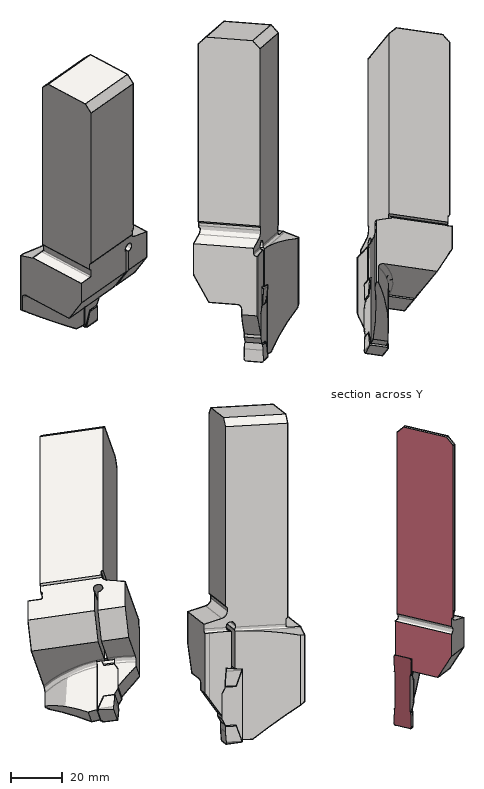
import cadquery as cq
import math


shank_width = 25.0
total_height = 128.73
shank_chamfer = 3.0
relief_depth = 0.7
relief_z_right = 52.2
relief_z_back = 54.6
relief_z_front = 48.9

head_front_y = -5.0
head_back_y = 33.7
head_left_x = -6.82
head_right_x = shank_width - relief_depth
shoulder_z = 45.0
head_slope = math.radians(17)
neck_fillet = 1.5
front_fillet = 0.5
back_slope = math.radians(15)
back_top_z = 47.9
back_fillet = 3.0
head_bottom_z = 24.8
corner_cut_z = 35.4
corner_cut_x = 18.1

outer_radius = 62.0
outer_start_y = -3.3
outer_end_y = 31.8
outer_end_x = -1.4
inner_radius = 43.0
inner_apex_x = 5.85
inner_apex_y = 24.6
blade_fillet = 1.7
blade_bottom_z = 1.5
blade_toe_y = 14.6
front_bevel_z = 16.5
jaw_bevel_z = 20.9
jaw_tip_z = 11.3

insert_length = 30.2
insert_x = 2.5
insert_width = 8.0
head_back_width = 7.4
body_width = 6.8
seat_y = 18.4
cutting_edge_y = 25.0
rake_top_y = 25.4
rake_z = 5.0
ridge_foot_z = 7.7
ridge_y = 26.7
ridge_z = 10.1
end_clearance = 0.7
nose_fillet = 1.0
cutter_length = 7.1
cutter_heel_run = 0.4
cutter_heel_y = 21.1
cutter_toe_y = 18.9

slot_width = 1.3
slot_right_y = 21.55
slot_hole_radius = 1.85
slot_hole_y = 22.9
slot_hole_z = 46.4

margin = 2.0


def along_x(sketch, x_start, x_end):
    """Extrude a closed YZ outline from x_start to x_end."""
    return sketch.extrude(x_end - x_start).translate((x_start, 0, 0))


def holder_side():
    """Outline in YZ: shank, sloped clamping jaw and bevelled blade."""
    relief_y = shank_width - relief_depth
    jaw_root_z = back_top_z + (head_back_y - relief_y) * math.tan(back_slope)
    outline = (
        cq.Workplane("YZ")
        .polyline([
            (0, total_height),
            (shank_width, total_height),
            (shank_width, relief_z_back),
            (relief_y, relief_z_back - relief_depth),
            (relief_y, jaw_root_z),
            (head_back_y, back_top_z),
            (head_back_y, jaw_bevel_z),
            (ridge_y, jaw_tip_z),
            (seat_y, blade_bottom_z),
            (blade_toe_y, blade_bottom_z),
            (head_front_y, front_bevel_z),
            (head_front_y, shoulder_z),
            (relief_depth, shoulder_z),
            (relief_depth, relief_z_front - relief_depth),
            (0, relief_z_front),
        ])
        .close()
    )
    solid = along_x(outline, head_left_x, shank_width)
    back_root = cq.selectors.NearestToPointSelector((0, relief_y, jaw_root_z))
    front_root = cq.selectors.NearestToPointSelector((0, relief_depth, shoulder_z))
    rounded = solid.edges("|X").edges(back_root).fillet(back_fillet)
    return rounded.edges("|X").edges(front_root).fillet(front_fillet)


def holder_front():
    """Outline in XZ: chamfered shank, sloped head top and bevelled corner."""
    outer_top_z = shoulder_z + head_left_x * math.tan(head_slope)
    outline = (
        cq.Workplane("XZ", origin=(0, head_back_y, 0))
        .polyline([
            (0, total_height - shank_chamfer),
            (shank_chamfer, total_height),
            (shank_width - shank_chamfer, total_height),
            (shank_width, total_height - shank_chamfer),
            (shank_width, relief_z_right),
            (head_right_x, relief_z_right - relief_depth),
            (head_right_x, corner_cut_z),
            (corner_cut_x, head_bottom_z),
            (corner_cut_x, 0),
            (head_left_x, 0),
            (head_left_x, outer_top_z),
            (0, shoulder_z),
        ])
        .close()
    )
    solid = outline.extrude(head_back_y - head_front_y)
    root = cq.selectors.NearestToPointSelector((0, (head_back_y + head_front_y) / 2, shoulder_z))
    return solid.edges("|Y").edges(root).fillet(neck_fillet)


def holder_plan():
    """Outline in XY: hollow arc on the -X face, plain elsewhere."""
    return (
        cq.Workplane("XY")
        .moveTo(head_left_x, head_front_y)
        .lineTo(head_left_x, outer_start_y)
        .radiusArc((outer_end_x, outer_end_y), -outer_radius)
        .lineTo(outer_end_x, head_back_y)
        .lineTo(shank_width, head_back_y)
        .lineTo(shank_width, head_front_y)
        .close()
        .extrude(total_height)
    )


def inner_face_x(y):
    """X of the rounded blade face at a given Y."""
    return inner_apex_x - inner_radius + math.sqrt(inner_radius**2 - (y - inner_apex_y) ** 2)


def blade_clearance():
    """Space under the head on the +X side of the blade, with a rounded top edge."""
    y_start = head_front_y - margin
    y_end = head_back_y + margin
    right_x = shank_width + margin
    space = (
        cq.Workplane("XY")
        .moveTo(inner_face_x(y_start), y_start)
        .threePointArc((inner_apex_x, inner_apex_y), (inner_face_x(y_end), y_end))
        .lineTo(right_x, y_end)
        .lineTo(right_x, y_start)
        .close()
        .extrude(head_bottom_z)
    )
    return space.faces(">Z").edges("%CIRCLE").fillet(blade_fillet)


def insert_profile():
    """Outline of the insert in YZ, the same at both ends."""
    lower = [
        (seat_y, end_clearance),
        (cutting_edge_y, 0),
        (rake_top_y, rake_z),
        (rake_top_y, ridge_foot_z),
        (ridge_y, ridge_z),
    ]
    upper = [(y, insert_length - z) for y, z in reversed(lower)]
    return cq.Workplane("YZ").polyline(lower + upper).close()


def insert_pocket():
    """Seat for the insert, open to -X and closed beside its cutting head."""
    return along_x(insert_profile(), head_left_x, insert_x + insert_width / 2)


def clamping_slot():
    """Slit with a round end that lets the jaw flex, through the whole head."""
    slit_height = slot_hole_z - head_bottom_z
    slit = (
        cq.Workplane("XY")
        .box(shank_width - head_left_x, slot_width, slit_height, centered=False)
        .translate((head_left_x, slot_right_y, head_bottom_z))
    )
    hole = cq.Workplane("YZ").center(slot_hole_y, slot_hole_z).circle(slot_hole_radius)
    return slit.union(along_x(hole, head_left_x, shank_width))


def make_holder():
    blank = holder_side().intersect(holder_front()).intersect(holder_plan())
    return blank.cut(blade_clearance()).cut(clamping_slot()).cut(insert_pocket())


def cutting_head():
    """Wide lower end of the insert, tapering back from a rounded nose."""
    heel_z = cutter_length + cutter_heel_run
    side_outline = (
        cq.Workplane("YZ")
        .polyline([
            (cutter_toe_y, 0),
            (ridge_y, 0),
            (ridge_y, heel_z),
            (cutter_heel_y, heel_z),
            (cutter_toe_y, blade_bottom_z),
        ])
        .close()
    )
    side = along_x(side_outline, insert_x - insert_width / 2, insert_x + insert_width / 2)
    taper = (
        cq.Workplane("XZ", origin=(insert_x, ridge_y, 0))
        .polyline([
            (-insert_width / 2, 0),
            (insert_width / 2, 0),
            (head_back_width / 2, cutter_length),
            (body_width / 2, heel_z),
            (-body_width / 2, heel_z),
            (-head_back_width / 2, cutter_length),
        ])
        .close()
        .extrude(ridge_y - seat_y)
        .faces("<Z").edges("|Y").fillet(nose_fillet)
    )
    profile = along_x(insert_profile(), insert_x - insert_width / 2, insert_x + insert_width / 2)
    return side.intersect(taper).intersect(profile)


def make_insert():
    body = along_x(insert_profile(), insert_x - body_width / 2, insert_x + body_width / 2)
    lower_head = cutting_head()
    upper_head = lower_head.mirror("XY", (0, 0, insert_length / 2))
    return body.union(lower_head).union(upper_head)


holder = make_holder()
insert = make_insert()

result = cq.Compound.makeCompound([holder.val(), insert.val()])